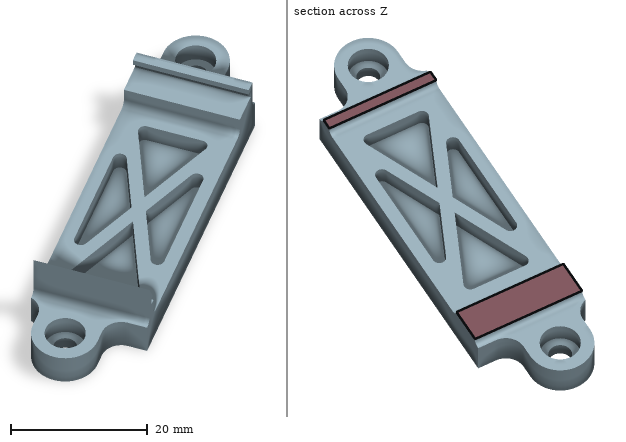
import cadquery as cq
import math

overall_length = 67.6
body_width = 18.0
base_height = 5.0
ear_radius = 5.0
ear_reach = 10.0
body_end = overall_length / 2 - ear_reach

ear_inset = 2.0
ear_x = -body_width / 2 + ear_inset + ear_radius
ear_y = overall_length / 2 - ear_radius
ear_fillet = 3.0
hole_diameter = 3.5
counterbore_diameter = 6.0
counterbore_depth = 3.0

root_radius = 1.0
wall_outer = body_end - root_radius
wall_thickness = 0.9
ledge_height = 8.1
rear_hook_underside = 9.5
front_hook_underside = 9.3
rear_corner_radius = 0.4
front_corner_radius = 0.3
rear_block_depth = 5.7
rear_hook_depth = 1.75
rear_hook_top = 10.5
rear_bevel_width = 0.5
rear_bevel_drop = 0.15
front_block_depth = 1.8
front_hook_depth = 1.5
front_hook_top = 12.1

floor_back = wall_outer - rear_block_depth - root_radius
floor_front = -wall_outer + front_block_depth + root_radius
frame_width = 2.0
rib_width = 2.0
pocket_radius = 1.0
pocket_depth = 3.0
pocket_centre_y = (floor_back + floor_front) / 2
frame_half_x = body_width / 2 - frame_width
frame_half_y = (floor_back - floor_front) / 2 - frame_width


def make_body():
    """Side outline of the base and both end walls, extruded across the width."""
    rear_slot = wall_outer - wall_thickness
    rear_step = wall_outer - rear_block_depth
    front_slot = -wall_outer + wall_thickness
    front_step = -wall_outer + front_block_depth
    root_top = base_height + root_radius
    rear_corner_start = rear_hook_underside - rear_corner_radius
    front_corner_start = front_hook_underside - front_corner_radius
    outline = (
        cq.Workplane("YZ", origin=(-body_width / 2, 0, 0))
        .moveTo(-body_end, 0)
        .lineTo(body_end, 0)
        .lineTo(body_end, base_height)
        .radiusArc((wall_outer, root_top), root_radius)
        .lineTo(wall_outer, rear_hook_top - rear_bevel_drop)
        .lineTo(wall_outer - rear_bevel_width, rear_hook_top)
        .lineTo(wall_outer - rear_hook_depth, rear_hook_top)
        .lineTo(wall_outer - rear_hook_depth, rear_hook_underside)
        .lineTo(rear_slot - rear_corner_radius, rear_hook_underside)
        .radiusArc((rear_slot, rear_corner_start), rear_corner_radius)
        .lineTo(rear_slot, ledge_height)
        .lineTo(rear_step, ledge_height)
        .lineTo(rear_step, root_top)
        .radiusArc((floor_back, base_height), root_radius)
        .lineTo(floor_front, base_height)
        .radiusArc((front_step, root_top), root_radius)
        .lineTo(front_step, ledge_height)
        .lineTo(front_slot, ledge_height)
        .lineTo(front_slot, front_corner_start)
        .radiusArc((front_slot + front_corner_radius, front_hook_underside), front_corner_radius)
        .lineTo(-wall_outer + front_hook_depth, front_hook_underside)
        .lineTo(-wall_outer, front_hook_top)
        .lineTo(-wall_outer, root_top)
        .radiusArc((-body_end, base_height), root_radius)
        .close()
    )
    return outline.extrude(body_width)


def make_ear():
    """Rounded ear at the +Y end; its -X fillet is cut short by the body side."""
    left = ear_x - ear_radius
    right = ear_x + ear_radius
    side = -body_width / 2
    fillet_top = body_end + ear_fillet
    fillet_offset = ear_fillet - ear_inset
    left_fillet_top = body_end + math.sqrt(ear_fillet**2 - fillet_offset**2)
    return (
        cq.Workplane("XY")
        .moveTo(side, body_end - root_radius)
        .lineTo(side, body_end)
        .radiusArc((left, left_fillet_top), -ear_fillet)
        .lineTo(left, ear_y)
        .threePointArc((ear_x, ear_y + ear_radius), (right, ear_y))
        .lineTo(right, fillet_top)
        .radiusArc((right + ear_fillet, body_end), -ear_fillet)
        .lineTo(right + ear_fillet, body_end - root_radius)
        .close()
        .extrude(base_height)
    )


def make_pocket(apex, corner_a, corner_b):
    """Triangular pocket with a sharp apex and two rounded outer corners."""
    pocket = (
        cq.Workplane("XY", origin=(0, pocket_centre_y, base_height - pocket_depth))
        .polyline([apex, corner_a, corner_b])
        .close()
        .extrude(pocket_depth)
    )
    if apex[0] == 0:
        return pocket.edges("|Z and (<X or >X)").fillet(pocket_radius)
    return pocket.edges("|Z and (<Y or >Y)").fillet(pocket_radius)


diagonal = math.hypot(frame_half_x, frame_half_y)
rib_half_x = rib_width / 2 * diagonal / frame_half_y
rib_half_y = rib_width / 2 * diagonal / frame_half_x

result = make_body()
ear = make_ear()
result = result.union(ear).union(ear.mirror("XZ"))

for end in (1, -1):
    hole_base = cq.Workplane("XY", origin=(ear_x, end * ear_y, 0))
    hole = hole_base.circle(hole_diameter / 2).extrude(base_height)
    counterbore = (
        hole_base.workplane(offset=base_height - counterbore_depth)
        .circle(counterbore_diameter / 2)
        .extrude(counterbore_depth)
    )
    result = result.cut(hole).cut(counterbore)

for side in (1, -1):
    end_x = frame_half_x - rib_half_x
    end_y = side * frame_half_y
    result = result.cut(make_pocket((0, side * rib_half_y), (-end_x, end_y), (end_x, end_y)))
    side_x = side * frame_half_x
    side_y = frame_half_y - rib_half_y
    result = result.cut(make_pocket((side * rib_half_x, 0), (side_x, -side_y), (side_x, side_y)))